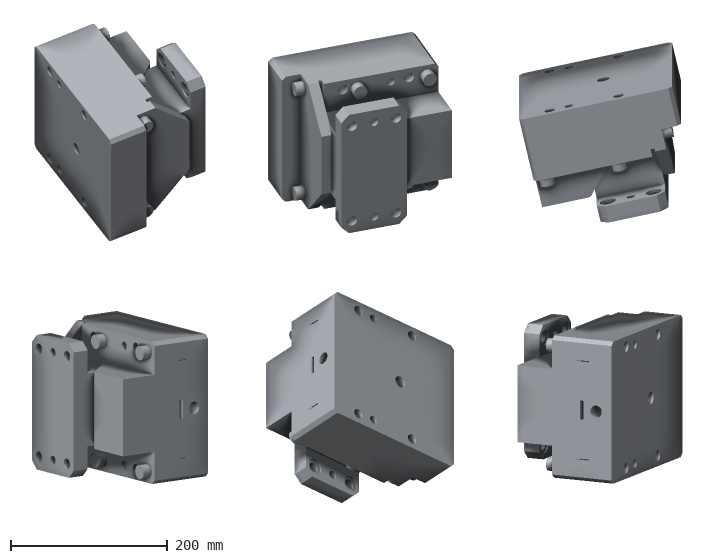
import cadquery as cq
import math


LENGTH = 200.0
HEIGHT = 185.0
HOUSING_TOP = 85.0
FOOT_TOP = 51.5
CORNER_CHAMFER = 5.0

END_PLATE_X = 160.0
END_PLATE_OUTER_X = 174.5
END_PLATE_TOP = 129.0
END_PLATE_SHOULDER = 79.0
END_PLATE_CHAMFER = 2.0
RELIEF_WIDTH = 5.0

SCREW_HEAD_DIAMETER = 18.2
SCREW_HEAD_HEIGHT = 12.2
SCREW_Z = 77.2
LIP_SCREW_X = (15.5, 110.0)
END_SCREW_Y = 60.5

BOLT_HOLE_DIAMETER = 13.5
BOLT_HOLE_X = (40.0, 129.8)
BOLT_HOLE_Z = 79.0
DOWEL_HOLE_DIAMETER = 11.0
DOWEL_HOLE_X = 65.0
DOWEL_HOLE_Z = 77.5

END_HOLE_Y = 22.2
END_HOLE_DIAMETER = 16.0
END_HOLE_DEPTH = 40.0
ROD_Y = 20.0
ROD_DIAMETER = 25.0
ROD_END_X = 111.8
CENTRE_HOLE_DIAMETER = 16.2
CENTRE_HOLE_X = 110.0

SLOT_FLOOR = 45.0
LIP_FLOOR = 75.0
SLOT_HALF_WIDTH = 64.8
NECK_HALF_WIDTH = 50.0
KEYWAY_WIDTH = 25.0
KEYWAY_DEPTH = 5.0
GROOVE_WIDTH = 1.8
GROOVE_DEPTH = 12.5
FLANK_RELIEF = 0.8
FLANK_RELIEF_HEIGHT = 5.0

SLIDER_TOP = 134.8
SLIDER_TOP_X = 63.2
WEDGE_ANGLE = 50.0
SLIDER_EDGE_RADIUS = 8.0

CARRIAGE_X = 70.5
CARRIAGE_LENGTH = 89.0
CARRIAGE_EDGE_RADIUS = 12.0
CARRIAGE_NECK_HEIGHT = 95.2
TOOL_PLATE_BOTTOM = 138.8
TOOL_PLATE_TOP = 161.0
TOOL_PLATE_HEIGHT = 175.0
TOOL_PLATE_CHAMFER = 10.5
TOOL_HOLE_Z = 70.0
TOOL_BOLT_SPACING = 60.0
TOOL_BOLT_DIAMETER = 13.5
TOOL_BOLT_RECESS_DIAMETER = 21.0
TOOL_BOLT_RECESS_DEPTH = 2.5
TOOL_DOWEL_DIAMETER = 11.2


def wedge_x(y):
    """X of the wedge face at height y."""
    return SLIDER_TOP_X + (SLIDER_TOP - y) / math.tan(math.radians(WEDGE_ANGLE))


def mirrored_z(x_positions, z):
    """Points at each X, on both sides of the plane Z = 0."""
    return [(x, side * z) for x in x_positions for side in (-1, 1)]


def box(x_range, y_range, z_range):
    """Box given by its limits along each axis."""
    sizes = [high - low for low, high in (x_range, y_range, z_range)]
    return cq.Workplane("XY").box(*sizes, centered=False).translate((x_range[0], y_range[0], z_range[0]))


def cylinders_along_y(points, diameter, y_start, y_end):
    """Cylinders parallel to Y at the given (x, z) points."""
    plane = cq.Workplane("XZ", origin=(0, y_start, 0))
    return plane.pushPoints(points).circle(diameter / 2).extrude(y_start - y_end)


def cylinders_along_x(points, diameter, x_start, x_end):
    """Cylinders parallel to X at the given (y, z) points."""
    plane = cq.Workplane("YZ", origin=(x_start, 0, 0))
    return plane.pushPoints(points).circle(diameter / 2).extrude(x_end - x_start)


def t_profile(top, length):
    """T-shaped bar along X that fills the slot and rises to the given Y."""
    flange = box((0, length), (SLOT_FLOOR, LIP_FLOOR), (-SLOT_HALF_WIDTH, SLOT_HALF_WIDTH))
    neck = box((0, length), (SLOT_FLOOR, top), (-NECK_HALF_WIDTH, NECK_HALF_WIDTH))
    return flange.union(neck)


def end_plate():
    half_height = HEIGHT / 2
    top_half_width = half_height - (END_PLATE_TOP - END_PLATE_SHOULDER)
    return (
        cq.Workplane("YZ", origin=(END_PLATE_X, 0, 0))
        .moveTo(FOOT_TOP, -half_height)
        .lineTo(END_PLATE_SHOULDER, -half_height)
        .lineTo(END_PLATE_TOP, -top_half_width)
        .lineTo(END_PLATE_TOP, top_half_width)
        .lineTo(END_PLATE_SHOULDER, half_height)
        .lineTo(FOOT_TOP, half_height)
        .close()
        .extrude(END_PLATE_OUTER_X - END_PLATE_X)
        .faces(">Y").edges("<X").chamfer(END_PLATE_CHAMFER)
    )


def housing_block():
    z_range = (-HEIGHT / 2, HEIGHT / 2)
    foot = box((0, LENGTH), (0, FOOT_TOP), z_range)
    rail = box((0, END_PLATE_X), (0, HOUSING_TOP), z_range)
    return foot.union(rail).edges("|Y and (<X or >X)").chamfer(CORNER_CHAMFER).union(end_plate())


def slot_cutter():
    """T-slot with its keyway, corner grooves and the notch beside the end plate."""
    cutter = t_profile(HOUSING_TOP, END_PLATE_X)
    slot_x = (0, END_PLATE_X)
    cutter = cutter.union(
        box(slot_x, (SLOT_FLOOR - KEYWAY_DEPTH, SLOT_FLOOR), (-KEYWAY_WIDTH / 2, KEYWAY_WIDTH / 2))
    )
    groove_y = (SLOT_FLOOR - GROOVE_DEPTH, SLOT_FLOOR)
    for groove_z in (-SLOT_HALF_WIDTH, SLOT_HALF_WIDTH - GROOVE_WIDTH):
        cutter = cutter.union(box(slot_x, groove_y, (groove_z, groove_z + GROOVE_WIDTH)))
    relief_x = (END_PLATE_X - RELIEF_WIDTH, END_PLATE_X)
    return cutter.union(box(relief_x, (LIP_FLOOR, HOUSING_TOP), (-HEIGHT / 2, HEIGHT / 2)))


def screw_heads():
    lip_heads = cylinders_along_y(
        mirrored_z(LIP_SCREW_X, SCREW_Z),
        SCREW_HEAD_DIAMETER, HOUSING_TOP, HOUSING_TOP + SCREW_HEAD_HEIGHT,
    )
    end_heads = cylinders_along_x(
        mirrored_z([END_SCREW_Y], SCREW_Z),
        SCREW_HEAD_DIAMETER, END_PLATE_OUTER_X, END_PLATE_OUTER_X + SCREW_HEAD_HEIGHT,
    )
    return lip_heads.add(end_heads)


def housing_holes():
    bolt_holes = cylinders_along_y(mirrored_z(BOLT_HOLE_X, BOLT_HOLE_Z), BOLT_HOLE_DIAMETER, 0, HOUSING_TOP)
    dowel_holes = cylinders_along_y(
        mirrored_z([DOWEL_HOLE_X], DOWEL_HOLE_Z), DOWEL_HOLE_DIAMETER, 0, HOUSING_TOP
    )
    end_hole = cylinders_along_x([(END_HOLE_Y, 0)], END_HOLE_DIAMETER, 0, END_HOLE_DEPTH)
    return [bolt_holes, dowel_holes, end_hole]


def centre_hole():
    """Hole from the mounting face to the keyway that leaves the end of the guide rod standing."""
    hole = cylinders_along_y([(CENTRE_HOLE_X, 0)], CENTRE_HOLE_DIAMETER, 0, SLOT_FLOOR)
    rod = cylinders_along_x([(ROD_Y, 0)], ROD_DIAMETER, ROD_END_X, END_PLATE_X)
    return hole.cut(rod)


def make_housing():
    body = housing_block().cut(slot_cutter())
    for head in screw_heads().vals():
        body = body.union(cq.Workplane(head))
    for hole in housing_holes():
        body = body.cut(hole)
    return body.cut(centre_hole())


def make_slider():
    """T-shaped bar whose +X end is the wedge face."""
    wedge_outline = (
        cq.Workplane("XY")
        .moveTo(0, SLOT_FLOOR)
        .lineTo(wedge_x(SLOT_FLOOR), SLOT_FLOOR)
        .lineTo(SLIDER_TOP_X, SLIDER_TOP)
        .lineTo(0, SLIDER_TOP)
        .close()
        .extrude(SLOT_HALF_WIDTH, both=True)
        .faces(">Y").edges(">X").fillet(SLIDER_EDGE_RADIUS)
    )
    body = t_profile(SLIDER_TOP, END_PLATE_X).intersect(wedge_outline)
    relief_y = (SLOT_FLOOR, SLOT_FLOOR + FLANK_RELIEF_HEIGHT)
    for relief_z in (-SLOT_HALF_WIDTH, SLOT_HALF_WIDTH - FLANK_RELIEF):
        body = body.cut(box((0, END_PLATE_X), relief_y, (relief_z, relief_z + FLANK_RELIEF)))
    return body


def carriage_neck():
    """Neck that rests on the wedge face and reaches down to the slot floor."""
    end_x = CARRIAGE_X + CARRIAGE_LENGTH
    corner_y = SLIDER_TOP - (CARRIAGE_X - SLIDER_TOP_X) * math.tan(math.radians(WEDGE_ANGLE))
    return (
        cq.Workplane("XY")
        .moveTo(CARRIAGE_X, TOOL_PLATE_BOTTOM)
        .lineTo(CARRIAGE_X, corner_y)
        .lineTo(wedge_x(SLOT_FLOOR), SLOT_FLOOR)
        .lineTo(end_x, SLOT_FLOOR)
        .lineTo(end_x, TOOL_PLATE_BOTTOM)
        .close()
        .extrude(CARRIAGE_NECK_HEIGHT / 2, both=True)
        .faces("<X").edges("<Y").fillet(CARRIAGE_EDGE_RADIUS)
    )


def tool_plate():
    """Chamfered plate with a row of three holes beyond each side of the neck."""
    centre_x = CARRIAGE_X + CARRIAGE_LENGTH / 2
    z_range = (-TOOL_PLATE_HEIGHT / 2, TOOL_PLATE_HEIGHT / 2)
    plate = box((CARRIAGE_X, CARRIAGE_X + CARRIAGE_LENGTH), (TOOL_PLATE_BOTTOM, TOOL_PLATE_TOP), z_range)
    plate = plate.edges("|Y").chamfer(TOOL_PLATE_CHAMFER)

    bolt_x = (centre_x - TOOL_BOLT_SPACING / 2, centre_x + TOOL_BOLT_SPACING / 2)
    bolt_points = mirrored_z(bolt_x, TOOL_HOLE_Z)
    dowel_points = mirrored_z([centre_x], TOOL_HOLE_Z)
    recess_floor = TOOL_PLATE_BOTTOM + TOOL_BOLT_RECESS_DEPTH
    plate = plate.cut(cylinders_along_y(bolt_points, TOOL_BOLT_DIAMETER, TOOL_PLATE_BOTTOM, TOOL_PLATE_TOP))
    plate = plate.cut(
        cylinders_along_y(bolt_points, TOOL_BOLT_RECESS_DIAMETER, TOOL_PLATE_BOTTOM, recess_floor)
    )
    return plate.cut(
        cylinders_along_y(dowel_points, TOOL_DOWEL_DIAMETER, TOOL_PLATE_BOTTOM, TOOL_PLATE_TOP)
    )


def make_carriage():
    return carriage_neck().union(tool_plate())


housing = make_housing()
slider = make_slider()
carriage = make_carriage()

result = cq.Compound.makeCompound([body.solids().val() for body in (housing, slider, carriage)])